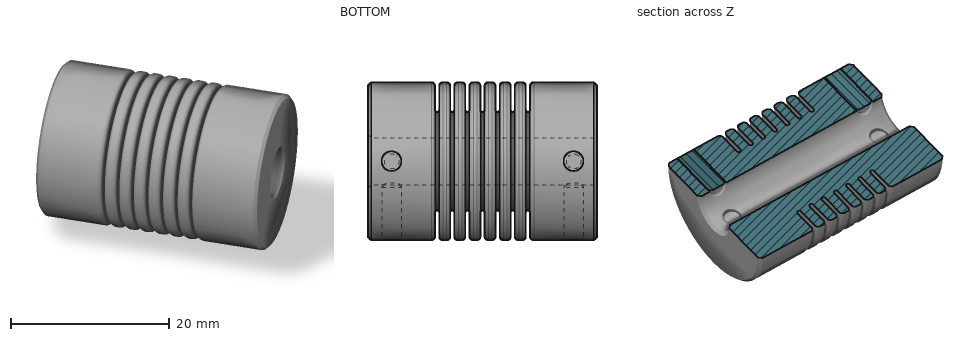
import cadquery as cq

length = 29.0
outer_radius = 10.0
bore_radius = 3.0
end_chamfer = 0.4

groove_count = 7
groove_pitch = 1.9
groove_width = 0.5
groove_root_radius = 6.24
crown_fillet = 0.5
first_groove = length / 2 - groove_pitch * (groove_count - 1) / 2

screw_radius = 1.25
screw_from_end = 3.0
screw_tip_chamfer = 0.32
screw_stations = [screw_from_end, length - screw_from_end]
screw_directions = [cq.Vector(0, 1, 0), cq.Vector(0, 0, -1)]

ARC_INSET = 1 - 0.5 ** 0.5


def radial_cylinder(station, direction, start, end):
    """Screw-sized cylinder pointing out from the axis, between two distances from it."""
    base = cq.Vector(station, 0, 0) + direction * start
    return cq.Workplane(cq.Solid.makeCylinder(screw_radius, end - start, base, direction))


def make_groove_cutter(center):
    """Ring that cuts one groove with a full-round root and rounded shoulders."""
    half_width = groove_width / 2
    left = center - half_width
    right = center + half_width
    root_round_start = groove_root_radius + half_width
    shoulder = outer_radius - crown_fillet
    inset = crown_fillet * ARC_INSET
    return (
        cq.Workplane("XY")
        .moveTo(left, root_round_start)
        .threePointArc((center, groove_root_radius), (right, root_round_start))
        .lineTo(right, shoulder)
        .threePointArc((right + inset, outer_radius - inset), (right + crown_fillet, outer_radius))
        .lineTo(left - crown_fillet, outer_radius)
        .threePointArc((left - inset, outer_radius - inset), (left, shoulder))
        .close()
        .revolve(360, (0, 0, 0), (1, 0, 0))
    )


def make_coupling():
    """One-piece coupling: two hubs joined by discs, a through bore and set-screw holes."""
    body = (
        cq.Workplane("YZ")
        .circle(outer_radius)
        .circle(bore_radius)
        .extrude(length)
        .faces("<X or >X")
        .chamfer(end_chamfer)
    )
    for index in range(groove_count):
        body = body.cut(make_groove_cutter(first_groove + index * groove_pitch))
    for station in screw_stations:
        for direction in screw_directions:
            body = body.cut(radial_cylinder(station, direction, 0, outer_radius))
    return body


def make_set_screw(station, direction):
    """Headless screw filling its hole, with a chamfered tip level with the bore."""
    screw = radial_cylinder(station, direction, bore_radius, outer_radius)
    tip = cq.NearestToPointSelector((station, 0, 0))
    return screw.faces(tip).chamfer(screw_tip_chamfer)


coupling = make_coupling()
set_screws = [
    make_set_screw(station, direction)
    for station in screw_stations
    for direction in screw_directions
]

result = cq.Compound.makeCompound([coupling.val(), *[screw.val() for screw in set_screws]])